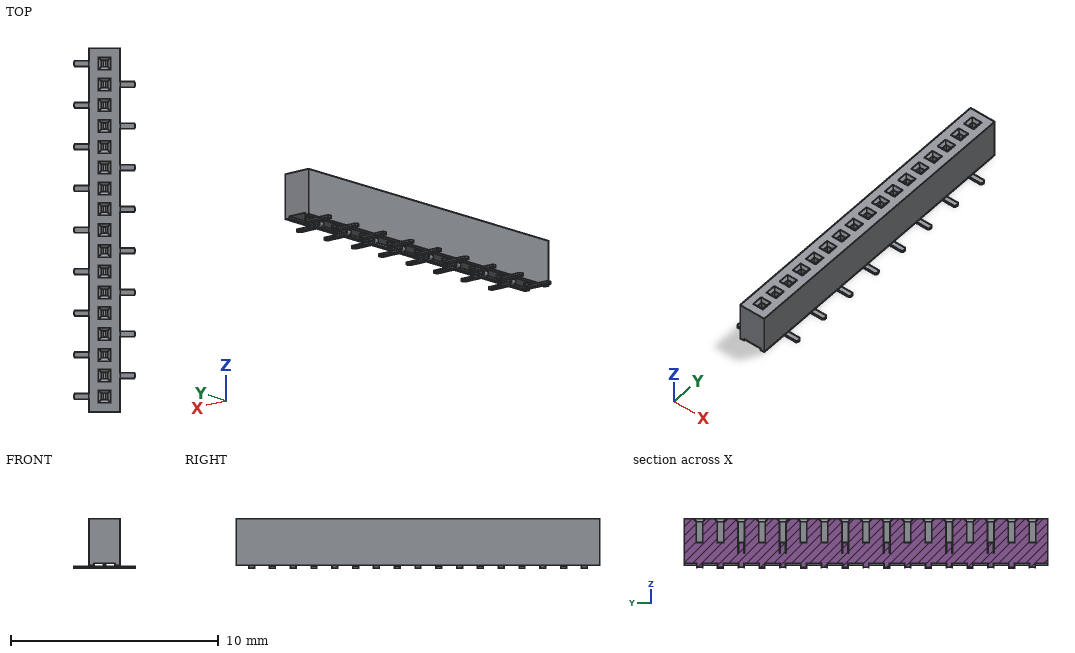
import cadquery as cq
import math


contact_count = 17
pitch = 1.0
body_width = 1.5
body_length = 17.5
overall_height = 2.4
lead_span = 2.95

standoff = 0.15
recess_depth = 0.1
foot_width = 0.25

mouth_size = 0.6
bore_size = 0.3
funnel_depth = 0.15
bore_depth = 1.5

strip_width = 0.28
strip_thickness = 0.1
inner_bend_radius = 0.05
tip_bulge = 0.05
blade_tip_gap = 1.0

ceiling_z = standoff + recess_depth
recess_width = body_width - 2 * foot_width
bore_top_z = overall_height - funnel_depth
blade_top_z = bore_top_z - blade_tip_gap
outer_bend_radius = inner_bend_radius + strip_thickness
first_contact_y = -pitch * (contact_count - 1) / 2


def block(x_size, y_size, z_low, z_high, y=0.0):
    """Rectangular block centred on X = 0 and the given Y, between two heights."""
    return (
        cq.Workplane("XY", origin=(0, y, z_low))
        .rect(x_size, y_size)
        .extrude(z_high - z_low)
    )


def make_housing():
    """Rectangular housing standing on two long feet."""
    housing = block(body_width, body_length, standoff, overall_height)
    recess = block(recess_width, body_length, standoff, ceiling_z)
    return housing.cut(recess)


def make_opening(y):
    """Square funnel leading into a blind square bore."""
    funnel = (
        cq.Workplane("XY", origin=(0, y, overall_height))
        .rect(mouth_size, mouth_size)
        .workplane(offset=-funnel_depth)
        .rect(bore_size, bore_size)
        .loft(ruled=True)
    )
    bore = block(bore_size, bore_size, bore_top_z - bore_depth, bore_top_z, y)
    return funnel.union(bore)


def make_contact():
    """Contact at Y = 0: an upright blade bent into a flat lead that reaches out to -X."""
    tip_x = -lead_span / 2
    half_thickness = strip_thickness / 2
    half_width = strip_width / 2
    bend_x = -half_thickness - inner_bend_radius
    bend_z = outer_bend_radius
    diagonal = math.sqrt(0.5)

    bent_strip = (
        cq.Workplane("XZ", origin=(0, half_width, 0))
        .moveTo(tip_x, 0)
        .lineTo(bend_x, 0)
        .threePointArc(
            (bend_x + outer_bend_radius * diagonal, bend_z - outer_bend_radius * diagonal),
            (half_thickness, bend_z),
        )
        .lineTo(half_thickness, blade_top_z)
        .lineTo(-half_thickness, blade_top_z)
        .lineTo(-half_thickness, bend_z)
        .threePointArc(
            (bend_x + inner_bend_radius * diagonal, bend_z - inner_bend_radius * diagonal),
            (bend_x, strip_thickness),
        )
        .lineTo(tip_x, strip_thickness)
        .close()
        .extrude(strip_width)
    )
    rounded_outline = (
        cq.Workplane("XY")
        .moveTo(half_thickness, half_width)
        .lineTo(tip_x + tip_bulge, half_width)
        .threePointArc((tip_x, 0), (tip_x + tip_bulge, -half_width))
        .lineTo(half_thickness, -half_width)
        .close()
        .extrude(blade_top_z)
    )
    return bent_strip.intersect(rounded_outline)


result = make_housing()
contact_positions = [first_contact_y + i * pitch for i in range(contact_count)]

for y in contact_positions:
    result = result.cut(make_opening(y))

left_contact = make_contact()
right_contact = left_contact.mirror("YZ")

for i, y in enumerate(contact_positions):
    contact = left_contact if i % 2 == 0 else right_contact
    result = result.union(contact.translate((0, y, 0)))